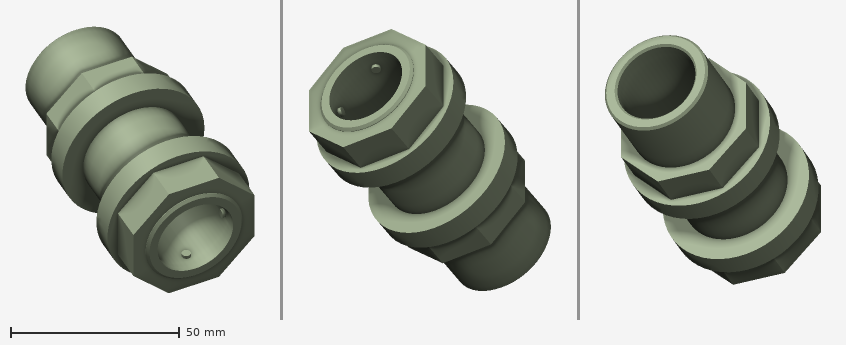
import cadquery as cq
import math

length = 82.0
pipe_diameter = 33.2
bore_diameter = 25.0
pipe_chamfer = 0.7
bore_chamfer = 0.65

octagon_sides = 8
octagon_flats = 40.0
octagon_width = 10.5
flange_diameter = 47.0
flange_width = 7.55
left_octagon_start = 21.9

lip_diameter = 32.0
lip_width = 1.0
lip_chamfer = 0.8
right_octagon_end = length - lip_width

pin_count = 4
pin_diameter = 2.8
pin_tip_radius = 11.4
pin_root_radius = (pipe_diameter + bore_diameter) / 4
pin_x = right_octagon_end - octagon_width / 2


def cylinder_x(start, width, diameter):
    return cq.Workplane("YZ", origin=(start, 0, 0)).circle(diameter / 2).extrude(width)


def collar(octagon_face, direction):
    """Octagon and flange stacked from octagon_face along +X (1) or -X (-1)."""
    corner_diameter = octagon_flats / math.cos(math.pi / octagon_sides)
    octagon = (
        cq.Workplane("YZ", origin=(octagon_face, 0, 0))
        .transformed(rotate=(0, 0, 180 / octagon_sides))
        .polygon(octagon_sides, corner_diameter)
        .extrude(direction * octagon_width)
    )
    flange_start = octagon_face + direction * octagon_width
    flange = cylinder_x(flange_start, direction * flange_width, flange_diameter)
    return octagon.union(flange)


def bore_pin(angle):
    pin = (
        cq.Workplane("XY", origin=(pin_x, 0, pin_tip_radius))
        .circle(pin_diameter / 2)
        .extrude(pin_root_radius - pin_tip_radius)
    )
    return pin.rotate((0, 0, 0), (1, 0, 0), angle)


pipe = cylinder_x(0, right_octagon_end, pipe_diameter).faces("<X").chamfer(pipe_chamfer)
lip = cylinder_x(right_octagon_end, lip_width, lip_diameter).faces(">X").chamfer(lip_chamfer)
body = pipe.union(collar(left_octagon_start, 1)).union(collar(right_octagon_end, -1)).union(lip)

bore = cylinder_x(0, length, bore_diameter)
body = body.cut(bore)
body = body.faces("<X").edges(cq.selectors.RadiusNthSelector(0)).chamfer(bore_chamfer)

for index in range(pin_count):
    body = body.union(bore_pin(index * 360 / pin_count))

result = body